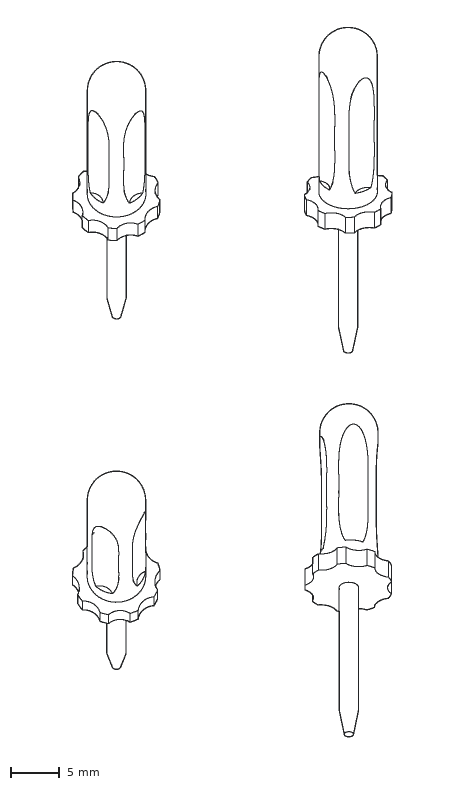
import cadquery as cq
import math

total_height = 40.0
tip_height = 3.0
flange_bottom = 18.0
flange_top = 20.0

tip_radius = 0.5
shaft_radius = 1.0
handle_radius = 3.0
dome_base = total_height - handle_radius

flange_radius = 4.5
valley_radius = 3.95
scallop_count = 9
scallop_pitch = 360 / scallop_count
lobe_angle = 11.6

groove_count = 4
groove_radius = 1.54
groove_mid_height = 28.55
groove_bottom = 21.9
bow_radius = 12.2
groove_axis_offset = 2.3


def make_body():
    """Conical tip, shaft and domed handle, turned about Z."""
    dome_mid = handle_radius * math.sqrt(0.5)
    return (
        cq.Workplane("XZ")
        .lineTo(tip_radius, 0)
        .lineTo(shaft_radius, tip_height)
        .lineTo(shaft_radius, flange_bottom)
        .lineTo(handle_radius, flange_bottom)
        .lineTo(handle_radius, dome_base)
        .threePointArc((dome_mid, dome_base + dome_mid), (0, total_height))
        .close()
        .revolve(360, (0, 0, 0), (0, 1, 0))
    )


def polar_point(radius, angle):
    return (radius * math.cos(math.radians(angle)), radius * math.sin(math.radians(angle)))


def make_flange():
    """Disc with shallow arc scallops; one valley faces +Y."""
    half_valley = (scallop_pitch - lobe_angle) / 2
    first_valley = 90
    outline = cq.Workplane("XY", origin=(0, 0, flange_bottom))
    outline = outline.moveTo(*polar_point(flange_radius, first_valley - half_valley))
    for i in range(scallop_count):
        valley = first_valley + i * scallop_pitch
        valley_end = valley + half_valley
        outline = outline.threePointArc(
            polar_point(valley_radius, valley), polar_point(flange_radius, valley_end)
        )
        outline = outline.threePointArc(
            polar_point(flange_radius, valley_end + lobe_angle / 2),
            polar_point(flange_radius, valley_end + lobe_angle),
        )
    return outline.close().extrude(flange_top - flange_bottom)


def make_groove_cutter():
    """Ring segment on the +X side, bowed toward the handle axis, with a flat lower end."""
    ring = cq.Solid.makeTorus(
        bow_radius,
        groove_radius,
        cq.Vector(groove_axis_offset + bow_radius, 0, groove_mid_height),
        cq.Vector(0, 1, 0),
    )
    cutting_zone = cq.Workplane("XY", origin=(0, 0, groove_bottom)).box(
        2 * handle_radius,
        2 * handle_radius,
        dome_base - groove_bottom,
        centered=(False, True, False),
    )
    return cutting_zone.intersect(cq.Workplane(ring))


result = make_body().union(make_flange())
groove_cutter = make_groove_cutter()
for i in range(groove_count):
    turn = i * 360 / groove_count
    result = result.cut(groove_cutter.rotate((0, 0, 0), (0, 0, 1), turn))